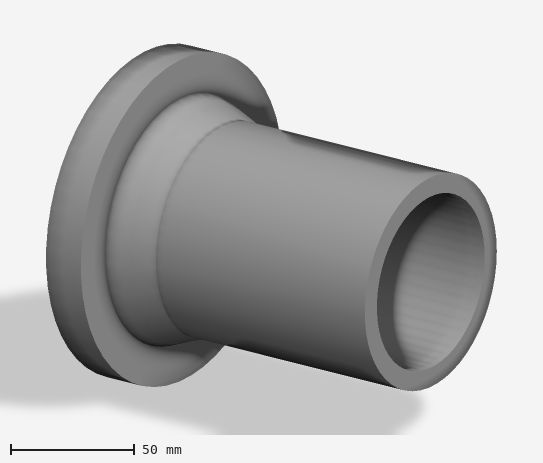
import cadquery as cq

total_length = 142.0
flange_diameter = 138.0
flange_thickness = 17.5
pipe_diameter = 90.0
bore_diameter = 73.5
neck_length = 20.0
neck_base_diameter = 104.8

flange_radius = flange_diameter / 2
pipe_radius = pipe_diameter / 2
bore_radius = bore_diameter / 2
neck_base_radius = neck_base_diameter / 2
neck_end = flange_thickness + neck_length

half_section = (
    cq.Workplane("XY")
    .moveTo(0, bore_radius)
    .lineTo(total_length, bore_radius)
    .lineTo(total_length, pipe_radius)
    .lineTo(neck_end, pipe_radius)
    .lineTo(flange_thickness, neck_base_radius)
    .lineTo(flange_thickness, flange_radius)
    .lineTo(0, flange_radius)
    .close()
)

result = half_section.revolve(360, (0, 0, 0), (1, 0, 0))